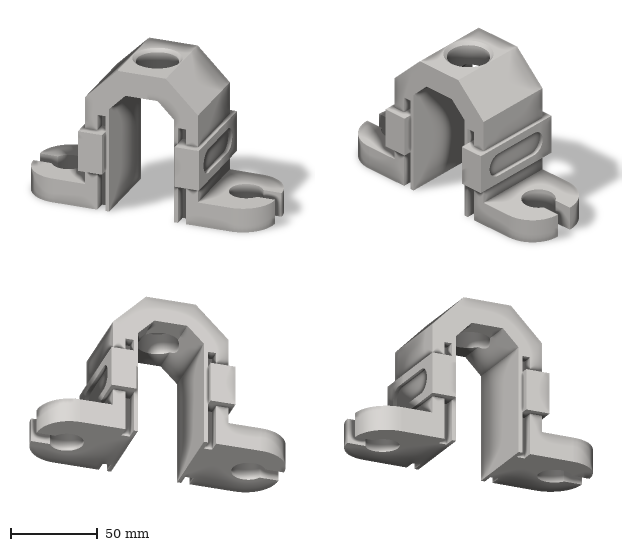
import cadquery as cq

length = 150.0
depth = 50.0
height = 90.0
foot_height = 15.0

arch_width = 70.0
wall = 15.0
outer_bevel = 20.0
inner_bevel = 10.0
opening_width = arch_width - 2 * wall

slot_inner_x = 22.5
slot_width = 5.0
slot_top = 60.0
slot_depth = 7.5
web_depth = depth - 2 * slot_depth
slot_outer_x = slot_inner_x + slot_width

crown_hole_diameter = 25.0
countersink_diameter = 29.0
countersink_angle = 90.0

foot_corner_radius = 20.0
foot_hole_diameter = 20.0
foot_hole_x = length / 2 - foot_corner_radius
mouth_width = depth - 2 * foot_corner_radius

band_outer_x = 37.5
band_depth = 60.0
band_bottom = 25.0
band_height = 25.0
window_length = 45.0
window_height = 15.0
leg_outer_x = arch_width / 2
band_plate = band_outer_x - leg_outer_x
band_mid_z = band_bottom + band_height / 2


def box(x_min, x_max, y_size, z_min, z_max):
    """Box centred on Y = 0 between the given X and Z limits."""
    center = ((x_min + x_max) / 2, 0, (z_min + z_max) / 2)
    return cq.Workplane("XY").box(x_max - x_min, y_size, z_max - z_min).translate(center)


def bevelled_block(width, top, bevel):
    """Block standing on Z = 0 with its two upper long edges bevelled."""
    block = box(-width / 2, width / 2, depth, 0, top)
    return block.edges("|Y and >Z").chamfer(bevel)


def cut_foot_hole(body, side):
    """Open the foot with a round hole and a mouth leading out through its end."""
    hole = (
        cq.Workplane("XY")
        .center(side * foot_hole_x, 0)
        .circle(foot_hole_diameter / 2)
        .extrude(foot_height)
    )
    x_min, x_max = sorted((side * foot_hole_x, side * length / 2))
    mouth = box(x_min, x_max, mouth_width, 0, foot_height)
    return body.cut(hole).cut(mouth)


def make_bracket():
    """Arch on two rounded feet, with a crown hole and two slots in each leg."""
    base = box(-length / 2, length / 2, depth, 0, foot_height)
    base = base.edges("|Z").fillet(foot_corner_radius)
    body = base.union(bevelled_block(arch_width, height, outer_bevel))
    body = body.cut(bevelled_block(opening_width, height - wall, inner_bevel))
    body = (
        body.faces(">Z")
        .workplane(origin=(0, 0, height))
        .cskHole(crown_hole_diameter, countersink_diameter, countersink_angle)
    )
    for side in (-1, 1):
        x_min, x_max = sorted((side * slot_inner_x, side * slot_outer_x))
        web = box(x_min, x_max, web_depth, 0, slot_top)
        slots = box(x_min, x_max, depth, 0, slot_top).cut(web)
        body = body.cut(slots)
        body = cut_foot_hole(body, side)
    return body


def make_band(side):
    """Clip with two hooks filling the slots, and a rounded window in its outer plate."""
    band_top = band_bottom + band_height
    x_min, x_max = sorted((side * slot_inner_x, side * band_outer_x))
    band = box(x_min, x_max, band_depth, band_bottom, band_top)

    x_min, x_max = sorted((side * slot_outer_x, side * leg_outer_x))
    band = band.cut(box(x_min, x_max, depth, band_bottom, band_top))

    x_min, x_max = sorted((side * slot_inner_x, side * slot_outer_x))
    band = band.cut(box(x_min, x_max, web_depth, band_bottom, band_top))

    window = (
        cq.Workplane("YZ", origin=(side * leg_outer_x, 0, band_mid_z))
        .slot2D(window_length, window_height)
        .extrude(side * band_plate)
    )
    return band.cut(window)


bracket = make_bracket()
bands = [make_band(side) for side in (-1, 1)]

result = cq.Compound.makeCompound([bracket.solids().val(), *[band.solids().val() for band in bands]])